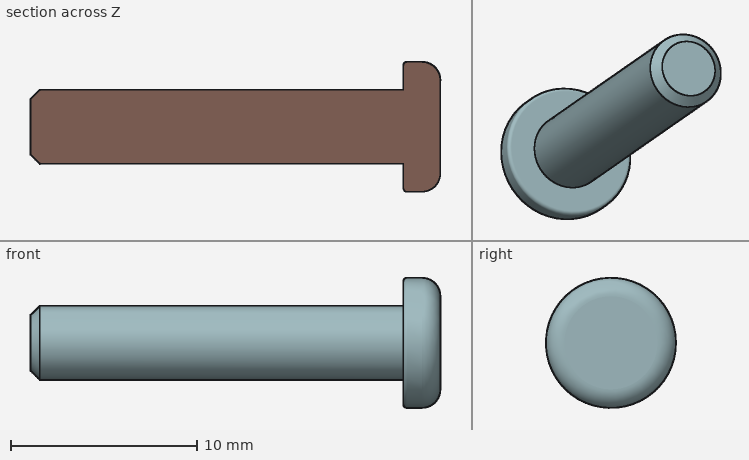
import cadquery as cq

total_length = 22.0
head_diameter = 7.0
head_length = 2.0
shank_diameter = 4.0

tip_chamfer = 0.5
crown_radius = head_length / 2
underside_radius = 0.2

shank_length = total_length - head_length


def make_shank():
    """Round shank from the tip at X = 0, with a chamfered tip."""
    shank = cq.Workplane("YZ").circle(shank_diameter / 2).extrude(shank_length)
    return shank.faces("<X").chamfer(tip_chamfer)


def make_head():
    """Disc head with a widely rounded crown and a slightly rounded underside rim."""
    head = (
        cq.Workplane("YZ")
        .workplane(offset=shank_length)
        .circle(head_diameter / 2)
        .extrude(head_length)
    )
    head = head.faces(">X").edges().fillet(crown_radius)
    return head.faces("<X").edges().fillet(underside_radius)


result = make_shank().union(make_head())